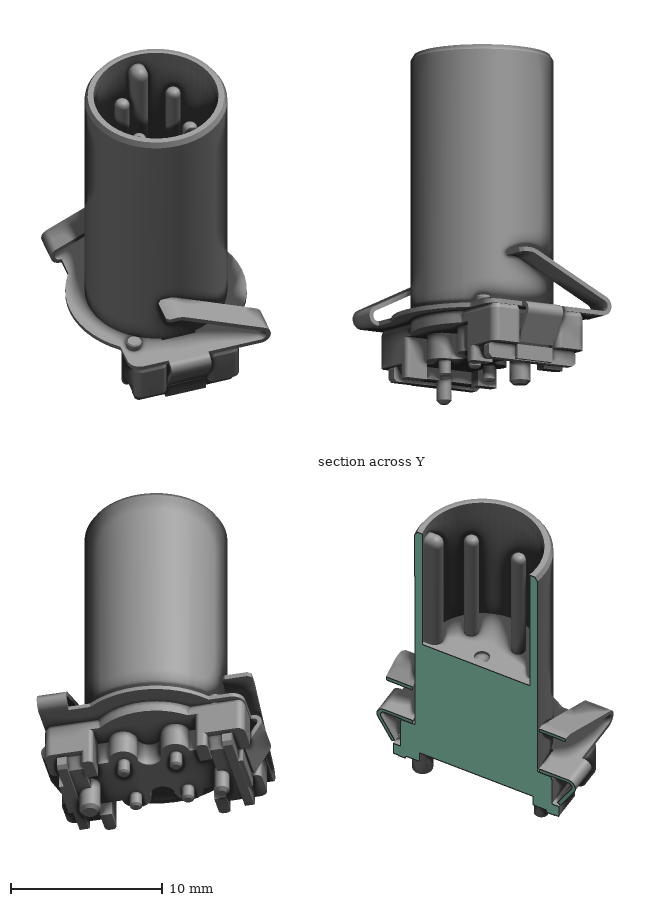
import cadquery as cq
import math

FOOT_Z = 1.32
PAD_Z = 1.52
BASE_Z = 2.32
TUBE_Z = 4.02
BASE_TOP = 4.81
FLOOR_Z = 12.48
TOP_Z = 22.7

TUBE_R = 4.72
SOCKET_R = 4.13
RIM_CHAMFER_HEIGHT = 0.35
RIM_CHAMFER_WIDTH = 0.2
KEY_R = 0.61
KEY_X = -3.59
KEY_TOP = 21.9
DIMPLE_R = 0.55
DIMPLE_DEPTH = 0.23
CONTACT_OFFSET = 1.77
CONTACT_R = 0.5
CONTACT_TOP = 21.18
CONTACT_ROUND = 0.39
TAIL_R = 0.4
TAIL_CHAMFER = 0.14

BASE_X = 6.79
BASE_Y = 3.65
BASE_CORNER_R = 0.52
BASE_RIM = 0.27
BASE_RIM_TAPER = 22.0
SLOT_Y = 1.43
SLOT_FLOOR_X = 5.72
SLOT_ROUND = 0.39
RECESS_X = 3.47
INSULATOR_Y = 2.05
COLLAR_R = 0.98
COLLAR_Y = 2.0
SCOOP_R = 0.85
LEG_X = 4.27
LEG_ROUND = 0.3
RAIL_IN_X = 5.3
RAIL_OUT_X = 5.92
RAIL_TOP_CHAMFER = 0.15
CATCH_X = 6.25
CATCH_Y = 1.4
CATCH_Z = 1.36
RAIL_Y = 3.45
RAIL_CHAMFER = 0.23
PAD_Y = 2.72
PAD_SLOPE_RUN = 0.48
PEG_X = 4.47
PEG_CHAMFER = 0.23
BIG_PEG_R = 0.7
SMALL_PEG_R = 0.5
STUD_X = 4.72
STUD_Y = 3.1
STUD_R = 0.5
STUD_TOP = 5.6
STUD_CHAMFER = 0.1

SHEET = 0.3
PLATE_R = 12.0 / 2
PLATE_X = 6.76
PLATE_Y_ARM = 5.0
PLATE_Y_STUD = 3.97
PLATE_CORNER_R = 0.86
RELIEF_X = 4.77
RELIEF_Y = 1.18
HOOK_Y = 1.38
HOOK_X = 7.5
HOOK_BEND_R = 0.6
HOOK_LEAN = 31.0
HOOK_LENGTH = 2.05
ARM_IN_X = 4.77
ARM_BEND_R = 0.65
ARM_BEND_Y = 5.08
ARM_RISE = 25.3
ARM_LENGTH = 6.08
ARM_CREST_R = 1.5
ARM_FLAT = 0.14
ARM_TIP_R = 2.72
ARM_TIP_DROP = 11.0
ARM_TIP_CHAMFER = 0.23

CONTACT_PLACES = [
    (x, y) for x in (-CONTACT_OFFSET, CONTACT_OFFSET) for y in (-CONTACT_OFFSET, CONTACT_OFFSET)
]
STUD_PLACES = [(-STUD_X, STUD_Y), (STUD_X, -STUD_Y)]


def cylinder(x, y, radius, z_low, z_high):
    return cq.Workplane("XY", origin=(x, y, z_low)).circle(radius).extrude(z_high - z_low)


def block(x_low, x_high, y_low, y_high, z_low, z_high):
    size = (x_high - x_low, y_high - y_low, z_high - z_low)
    return cq.Workplane("XY", origin=(x_low, y_low, z_low)).box(*size, centered=False)


def half_turn(shape):
    return shape.rotate((0, 0, 0), (0, 0, 1), 180)


def tube():
    body = cylinder(0, 0, TUBE_R, TUBE_Z, TOP_Z).faces(">Z").edges().chamfer(
        RIM_CHAMFER_HEIGHT, RIM_CHAMFER_WIDTH
    )
    socket = cylinder(0, 0, SOCKET_R, FLOOR_Z, TOP_Z)
    dimple = cylinder(0, 0, DIMPLE_R, FLOOR_Z - DIMPLE_DEPTH, FLOOR_Z)
    return body.cut(socket).cut(dimple).union(key_rib())


def key_rib():
    """Rib on the socket wall with a rounded nose and a domed top."""
    dome_z = KEY_TOP - KEY_R
    wall_x = -(SOCKET_R + TUBE_R) / 2
    nose = cylinder(KEY_X, 0, KEY_R, FLOOR_Z, dome_z)
    dome = cq.Workplane("XY", origin=(KEY_X, 0, dome_z)).sphere(KEY_R)
    web = block(wall_x, KEY_X, -KEY_R, KEY_R, FLOOR_Z, dome_z)
    web_top = (
        cq.Workplane("YZ", origin=(wall_x, 0, dome_z)).circle(KEY_R).extrude(KEY_X - wall_x)
    )
    return nose.union(dome).union(web).union(web_top)


def contact(x, y):
    pin = cylinder(x, y, CONTACT_R, FLOOR_Z, CONTACT_TOP).faces(">Z").edges().fillet(CONTACT_ROUND)
    tail = cylinder(x, y, TAIL_R, FOOT_Z, BASE_Z).faces("<Z").edges().chamfer(TAIL_CHAMFER)
    return pin.union(tail)


def base_block():
    """Rounded block with a slot in each end, closed by a tapered band under the top."""
    rim_z = BASE_TOP - BASE_RIM
    body = block(-BASE_X, BASE_X, -BASE_Y, BASE_Y, BASE_Z, rim_z).edges("|Z").fillet(BASE_CORNER_R)
    slot = block(-BASE_X, -SLOT_FLOOR_X, -SLOT_Y, SLOT_Y, BASE_Z, rim_z)
    body = body.cut(slot).cut(half_turn(slot))
    for end_x in (-BASE_X, BASE_X):
        slot_mouth = cq.selectors.BoxSelector(
            (end_x - SLOT_ROUND, -SLOT_Y - SLOT_ROUND, BASE_Z),
            (end_x + SLOT_ROUND, SLOT_Y + SLOT_ROUND, rim_z),
        )
        body = body.edges("|Z").edges(slot_mouth).fillet(SLOT_ROUND)
    top_outline = body.faces(">Z").wires().toPending().workplane()
    rim = top_outline.extrude(BASE_RIM, taper=BASE_RIM_TAPER, combine=False)
    return body.union(rim)


def recess():
    """Opening under the tube, wide enough for the rounded inner corners of the legs."""
    half_length = RECESS_X + LEG_ROUND
    return block(-half_length, half_length, -BASE_Y, BASE_Y, BASE_Z, TUBE_Z)


def insulator():
    """Block around the contact tails, with a round collar per contact and scoops between them."""
    half_length = RECESS_X + LEG_ROUND
    body = block(-half_length, half_length, -INSULATOR_Y, INSULATOR_Y, BASE_Z, TUBE_Z)
    for side in (-1, 1):
        body = body.cut(cylinder(0, side * INSULATOR_Y, SCOOP_R, BASE_Z, TUBE_Z))
        for x in (-CONTACT_OFFSET, CONTACT_OFFSET):
            body = body.union(cylinder(x, side * COLLAR_Y, COLLAR_R, BASE_Z, TUBE_Z))
    return body


def legs():
    """Four corner posts that flank the recess and reach below the base."""
    post = block(RECESS_X, LEG_X, -BASE_Y, -INSULATOR_Y, FOOT_Z, TUBE_Z)
    post = post.edges("|Z and <Y").fillet(LEG_ROUND)
    front = post.union(post.mirror("YZ"))
    return front.union(front.mirror("XZ"))


def rails():
    """Long feet under the two ends of the base, with a catch outside and a peg pad inside."""
    rail = (
        block(RAIL_IN_X, RAIL_OUT_X, -RAIL_Y, RAIL_Y, FOOT_Z, BASE_Z)
        .faces("<Z").edges("|X").chamfer(RAIL_CHAMFER)
        .faces(">Z").edges("|X").chamfer(RAIL_TOP_CHAMFER)
    )
    catch = block(RAIL_IN_X, CATCH_X, -CATCH_Y, CATCH_Y, CATCH_Z, BASE_Z)
    pad = (
        cq.Workplane("YZ", origin=(LEG_X, 0, 0))
        .polyline([
            (-PAD_Y - PAD_SLOPE_RUN, BASE_Z), (-PAD_Y, PAD_Z),
            (PAD_Y, PAD_Z), (PAD_Y + PAD_SLOPE_RUN, BASE_Z),
        ])
        .close().extrude(RAIL_IN_X - LEG_X)
    )
    one_end = rail.union(catch).union(pad)
    return one_end.union(half_turn(one_end))


def peg(x, radius):
    return cylinder(x, 0, radius, 0, BASE_Z).faces("<Z").edges().chamfer(PEG_CHAMFER)


def stud(x, y):
    return cylinder(x, y, STUD_R, BASE_Z, STUD_TOP).faces(">Z").edges().chamfer(STUD_CHAMFER)


def make_housing():
    body = base_block().cut(recess()).union(legs()).union(insulator()).union(rails())
    body = body.union(tube())
    for x, y in CONTACT_PLACES:
        body = body.union(contact(x, y))
    for x, y in STUD_PLACES:
        body = body.union(stud(x, y))
    return body.union(peg(-PEG_X, BIG_PEG_R)).union(peg(PEG_X, SMALL_PEG_R))


def bent_strip(plane, heading, steps, section):
    """Sheet-metal strip swept along its own middle line, which starts at the origin of `plane`.

    `heading` is in degrees. Each step is (length, 0) for a straight run, or
    (middle radius, turn in degrees) for a bend; a positive turn is to the left.
    """
    path = plane.moveTo(0, 0)
    for size, turn in steps:
        if turn == 0:
            path = path.polarLine(size, heading)
        else:
            chord = 2 * size * math.sin(math.radians(abs(turn) / 2))
            aim = math.radians(heading + turn / 2)
            path = path.tangentArcPoint((chord * math.cos(aim), chord * math.sin(aim)))
            heading += turn
    return section.sweep(path)


def clip_plate():
    top = BASE_TOP + SHEET
    ear = block(-PLATE_X, 0, -PLATE_Y_ARM, PLATE_Y_STUD, BASE_TOP, top)
    ear = ear.edges("|Z and <X and >Y").fillet(PLATE_CORNER_R)
    plate = cylinder(0, 0, PLATE_R, BASE_TOP, top).union(ear).union(half_turn(ear))
    plate = plate.cut(cylinder(0, 0, TUBE_R, BASE_TOP, top))
    plate = plate.cut(block(-RELIEF_X, RELIEF_X, -RELIEF_Y, RELIEF_Y, BASE_TOP, top))
    for x, y in STUD_PLACES:
        plate = plate.cut(cylinder(x, y, STUD_R, BASE_TOP, top))
    return plate


def hook():
    """Tongue bent down over the -X end of the base and back into its slot."""
    origin = (-PLATE_X + SHEET, 0, BASE_TOP + SHEET / 2)
    run_out = HOOK_X - HOOK_BEND_R + origin[0]
    steps = [
        (run_out, 0),
        (HOOK_BEND_R - SHEET / 2, 90 + HOOK_LEAN),
        (HOOK_LENGTH, 0),
    ]
    section = cq.Workplane("YZ", origin=origin).rect(2 * HOOK_Y, SHEET)
    return bent_strip(cq.Workplane("XZ", origin=origin), 180, steps, section)


def spring_arm():
    """Arm folded up from the -Y edge of the plate, rising back past the -X side of the tube."""
    origin = ((-ARM_IN_X - PLATE_X) / 2, -PLATE_Y_ARM + SHEET, BASE_TOP + SHEET / 2)
    run_out = ARM_BEND_Y + origin[1]
    steps = [
        (run_out, 0),
        (ARM_BEND_R - SHEET / 2, ARM_RISE - 180),
        (ARM_LENGTH, 0),
        (ARM_CREST_R - SHEET / 2, -ARM_RISE),
        (ARM_FLAT, 0),
        (ARM_TIP_R + SHEET / 2, -ARM_TIP_DROP),
    ]
    section = cq.Workplane("XZ", origin=origin).rect(PLATE_X - ARM_IN_X, SHEET)
    arm = bent_strip(cq.Workplane("YZ", origin=origin), 180, steps, section)
    tip_corners = arm.faces(">Y").edges("not |X")
    return tip_corners.chamfer(ARM_TIP_CHAMFER)


def make_clip():
    attachments = hook().union(spring_arm())
    return clip_plate().union(attachments).union(half_turn(attachments))


housing = make_housing()
clip = make_clip()
result = cq.Compound.makeCompound([housing.val(), clip.val()])